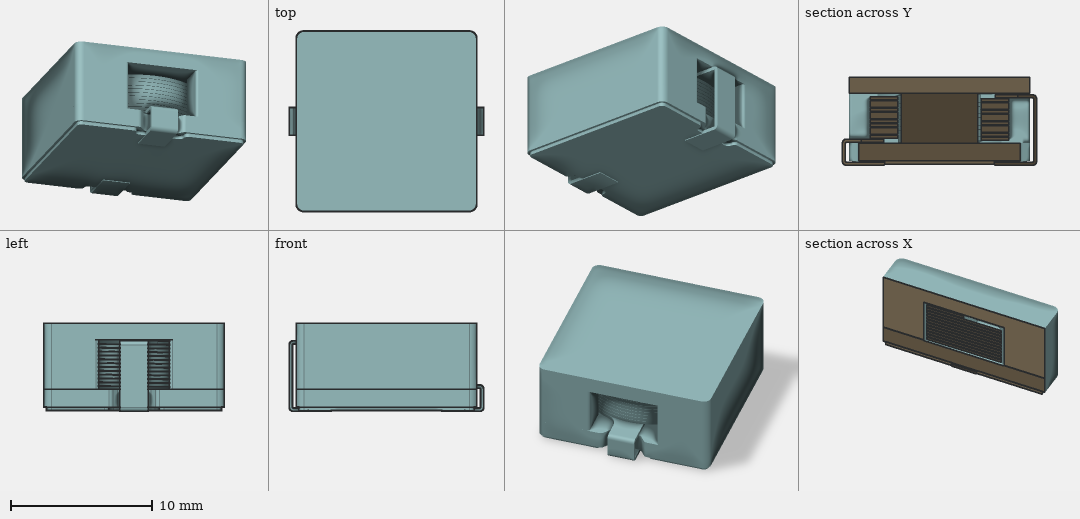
import cadquery as cq
import math


core_side = 12.8
corner_radius = 0.54
top_z = 6.27
base_top_z = 1.59
base_bottom_z = 0.3

cavity_radius = 5.05
cavity_top_z = 5.09
window_width = 5.02
window_edge_radius = 0.2
post_radius = 2.72

strip_width = 1.99
strip_thickness = 0.25
coil_inner_radius = 2.94
coil_turns = 11.5
coil_top_z = 5.02
coil_bottom_z = 1.64
lead_fillet = 1.0

terminal_span = 13.8
bend_inner_radius = 0.05
solder_tab_length = 3.0

recess_depth = 0.66
base_recess_width = 3.23
base_recess_fillet = 0.33
base_recess_wall_angle = 52.0
plate_inset = 0.2
plate_bottom_z = 0.05
plate_recess_width = 3.56
plate_recess_wall_angle = 90.0
plate_recess_fillet = 0.32

half_core = core_side / 2
half_span = terminal_span / 2
half_strip = strip_width / 2
coil_outer_radius = coil_inner_radius + strip_width
coil_mean_radius = coil_inner_radius + half_strip
coil_rise = coil_top_z - coil_bottom_z - strip_thickness
fillet_centre_radius = coil_outer_radius + lead_fillet
fillet_centre_y = half_strip + lead_fillet
lead_joint_x = math.sqrt(fillet_centre_radius**2 - fillet_centre_y**2)
ends = (-1, 1)


def block(x0, x1, width, z0, z1):
    """Box between two X and two Z positions, centred on Y."""
    return cq.Workplane("XY").box(x1 - x0, width, z1 - z0).translate(((x0 + x1) / 2, 0, (z0 + z1) / 2))


def rounded_square(side, radius, z0, z1):
    """Square slab with rounded vertical corners."""
    slab = block(-side / 2, side / 2, side, z0, z1)
    return slab.edges("|Z").fillet(radius)


def turned_to(end, shape):
    """Place a shape made for the -X end at the chosen end."""
    return shape if end < 0 else shape.mirror("YZ")


def round_edge_at(body, point, radius):
    """Fillet the upright edge nearest to a point."""
    return body.edges("|Z").edges(cq.selectors.NearestToPointSelector(point)).fillet(radius)


def make_cover():
    """Upper core half: round winding cavity open to a window at each end."""
    cover = rounded_square(core_side, corner_radius, base_top_z, top_z)
    cavity_height = cavity_top_z - base_top_z
    cavity = cq.Workplane("XY").workplane(offset=base_top_z).circle(cavity_radius).extrude(cavity_height)
    window = block(-half_core, half_core, window_width, base_top_z, cavity_top_z)
    cover = cover.cut(cavity).cut(window)
    for end in ends:
        for side in (-1, 1):
            corner = (end * half_core, side * window_width / 2, (base_top_z + cavity_top_z) / 2)
            cover = round_edge_at(cover, corner, window_edge_radius)
    return cover


def cut_end_recesses(body, face_x, width, wall_angle, fillet, z0, z1):
    """Cut a recess in both X ends; its side walls make wall_angle with the end face."""
    mouth_y = width / 2
    back_y = mouth_y - recess_depth / math.tan(math.radians(wall_angle))
    back_x = face_x - recess_depth
    for end in ends:
        outline = [
            (end * face_x, mouth_y),
            (end * back_x, back_y),
            (end * back_x, -back_y),
            (end * face_x, -mouth_y),
        ]
        recess = cq.Workplane("XY").workplane(offset=z0).polyline(outline).close().extrude(z1 - z0)
        body = body.cut(recess)
        for x, y in outline:
            body = round_edge_at(body, (x, y, (z0 + z1) / 2), fillet)
    return body


def make_base():
    """Lower core half: plain slab closing the cavity, recessed behind each terminal."""
    base = rounded_square(core_side, corner_radius, base_bottom_z, base_top_z)
    return cut_end_recesses(
        base, half_core, base_recess_width, base_recess_wall_angle, base_recess_fillet,
        base_bottom_z, base_top_z,
    )


def make_post():
    """Round centre post of the core, from the base up to the cavity ceiling."""
    height = cavity_top_z - base_top_z
    return cq.Workplane("XY").workplane(offset=base_top_z).circle(post_radius).extrude(height)


def make_plate():
    """Thin insulating plate under the base, slotted for the solder tabs."""
    half_plate = half_core - plate_inset
    plate = rounded_square(2 * half_plate, corner_radius - plate_inset, plate_bottom_z, base_bottom_z)
    plate = cut_end_recesses(
        plate, half_plate, plate_recess_width, plate_recess_wall_angle, plate_recess_fillet,
        plate_bottom_z, base_bottom_z,
    )
    tab_slot = block(-half_span, solder_tab_length - half_span, strip_width, plate_bottom_z, base_bottom_z)
    for end in ends:
        plate = plate.cut(turned_to(end, tab_slot))
    return plate


def make_lead(end, lead_top_z):
    """Straight end of the winding, blended on its -Y side into the outermost turn."""
    tangent_scale = coil_outer_radius / fillet_centre_radius
    tangent_point = (-lead_joint_x * tangent_scale, -fillet_centre_y * tangent_scale)
    blend_angle = (math.pi / 2 + math.atan2(fillet_centre_y, lead_joint_x)) / 2
    blend_middle = (
        -lead_joint_x + lead_fillet * math.cos(blend_angle),
        -fillet_centre_y + lead_fillet * math.sin(blend_angle),
    )
    lead = (
        cq.Workplane("XY")
        .workplane(offset=lead_top_z - strip_thickness)
        .moveTo(-lead_joint_x, half_strip)
        .lineTo(-coil_mean_radius, half_strip)
        .lineTo(-coil_mean_radius, tangent_point[1])
        .lineTo(*tangent_point)
        .threePointArc(blend_middle, (-lead_joint_x, -half_strip))
        .close()
        .extrude(strip_thickness)
    )
    return turned_to(end, lead)


def make_coil():
    """Flat strip wound on edge, descending from the -X lead to the +X lead."""
    helix = cq.Wire.makeHelix(coil_rise / coil_turns, coil_rise, coil_mean_radius, lefthand=True)
    turns = (
        cq.Workplane("XZ")
        .center(coil_mean_radius, 0)
        .rect(strip_width, strip_thickness)
        .sweep(cq.Workplane(helix), isFrenet=True)
        .translate((0, 0, coil_bottom_z + strip_thickness / 2))
    )
    top_lead = make_lead(-1, coil_top_z)
    bottom_lead = make_lead(1, coil_bottom_z + strip_thickness)
    return turns.union(top_lead).union(bottom_lead)


def make_terminal(end, arm_top_z):
    """Strip bent into a C: arm from the lead, upright leg, and solder tab under the core."""
    bend_outer_radius = bend_inner_radius + strip_thickness
    leg_inner_x = strip_thickness - half_span
    terminal = block(-half_span, -lead_joint_x, strip_width, 0, arm_top_z)
    terminal = terminal.union(block(-half_span, solder_tab_length - half_span, strip_width, 0, strip_thickness))
    gap = block(leg_inner_x, -lead_joint_x, strip_width, strip_thickness, arm_top_z - strip_thickness)
    gap = gap.edges("|Y and <X").fillet(bend_inner_radius)
    terminal = terminal.cut(gap)
    terminal = terminal.edges("|Y and <X").fillet(bend_outer_radius)
    return turned_to(end, terminal)


cover = make_cover()
base = make_base()
post = make_post()
plate = make_plate()
coil = make_coil()
arm_tops = (coil_top_z, coil_bottom_z + strip_thickness)
terminals = [make_terminal(end, arm_top_z) for end, arm_top_z in zip(ends, arm_tops)]

result = cq.Compound.makeCompound([
    *cover.solids().vals(),
    *base.solids().vals(),
    *post.solids().vals(),
    *plate.solids().vals(),
    *coil.solids().vals(),
    *[solid for terminal in terminals for solid in terminal.solids().vals()],
])